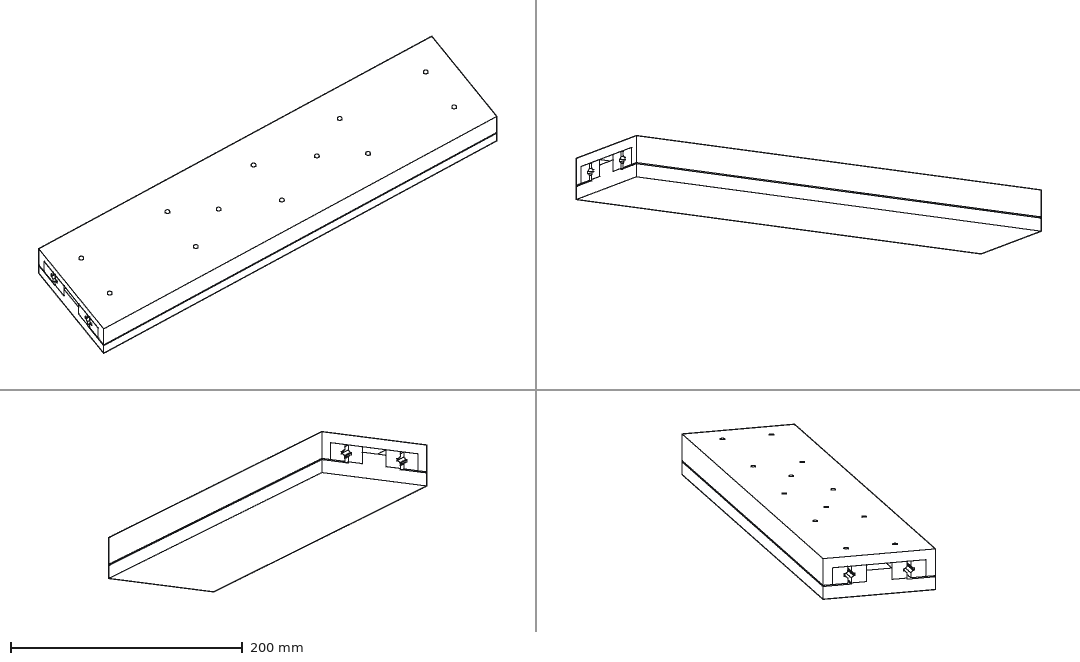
import cadquery as cq

LENGTH = 406.5
WIDTH = 101.5
HEIGHT = 36.5

RAIL_PAIR_WIDTH = 31.0
RAIL_HEIGHT = 15.0
RAIL_GAP = 3.3

GROOVE_MOUTH = 6.0
GROOVE_DEPTH = 2.0
RELIEF_HEIGHT = 2.0
RELIEF_DEPTH = 3.3

CARRIAGE_WALL = 8.5
CARRIAGE_PLATE = 9.0
RUNNING_GAP = 1.0
RIB_HEADROOM = 5.0

HOLE_DIAMETER = 4.0
HOLE_ROWS = 5
HOLE_ROW_PITCH = 89.0
HOLE_COLUMN_SPACING = 44.5
CENTRE_HOLE_SPACING = 101.5

POCKET_HALF_WIDTH = WIDTH / 2 - CARRIAGE_WALL
PAIR_CENTRE_X = POCKET_HALF_WIDTH - RAIL_PAIR_WIDTH / 2
RIB_HALF_WIDTH = POCKET_HALF_WIDTH - RAIL_PAIR_WIDTH
RAIL_WIDTH = (RAIL_PAIR_WIDTH - RAIL_GAP) / 2
POCKET_TOP = HEIGHT - CARRIAGE_PLATE
BASE_SEAT_HEIGHT = POCKET_TOP - RAIL_HEIGHT
RAIL_MIDDLE_Z = BASE_SEAT_HEIGHT + RAIL_HEIGHT / 2


def bar(x_min, x_max, z_min, z_max):
    """Full-length rectangular bar, centred on Y = 0."""
    return (
        cq.Workplane("XY")
        .box(x_max - x_min, LENGTH, z_max - z_min, centered=(False, True, False))
        .translate((x_min, 0, z_min))
    )


def make_carriage():
    """Inverted channel with mounting holes through its top plate."""
    body = bar(-WIDTH / 2, WIDTH / 2, BASE_SEAT_HEIGHT, HEIGHT)
    pocket = bar(-POCKET_HALF_WIDTH, POCKET_HALF_WIDTH, BASE_SEAT_HEIGHT, POCKET_TOP)
    plate_top = cq.Workplane("XY").workplane(offset=HEIGHT)
    side_holes = (
        plate_top
        .rarray(HOLE_COLUMN_SPACING, HOLE_ROW_PITCH, 2, HOLE_ROWS)
        .circle(HOLE_DIAMETER / 2)
        .extrude(-CARRIAGE_PLATE)
    )
    centre_holes = (
        plate_top
        .rarray(4, CENTRE_HOLE_SPACING, 1, 2)
        .circle(HOLE_DIAMETER / 2)
        .extrude(-CARRIAGE_PLATE)
    )
    return body.cut(pocket).cut(side_holes).cut(centre_holes)


def make_base():
    """Plate with raised seats for the inner rails and a rib between them."""
    seat_half_width = RIB_HALF_WIDTH + RAIL_WIDTH
    plate = bar(-WIDTH / 2, WIDTH / 2, 0, BASE_SEAT_HEIGHT - RUNNING_GAP)
    seats = bar(-seat_half_width, seat_half_width, 0, BASE_SEAT_HEIGHT)
    rib = bar(-RIB_HALF_WIDTH, RIB_HALF_WIDTH, 0, POCKET_TOP - RIB_HEADROOM)
    return plate.union(seats).union(rib)


def make_rail(pair_centre_x, side):
    """Rail on one side (-1 or +1 in X) of a pair's centre, grooved towards that centre."""
    face = RAIL_GAP / 2
    half_profile = [
        (face + RELIEF_DEPTH, RELIEF_HEIGHT / 2),
        (face + GROOVE_DEPTH, RELIEF_HEIGHT / 2),
        (face, GROOVE_MOUTH / 2),
        (face, RAIL_HEIGHT / 2),
        (face + RAIL_WIDTH, RAIL_HEIGHT / 2),
    ]
    mirrored_half = [(x, -z) for x, z in reversed(half_profile)]
    profile = [
        (pair_centre_x + side * x, RAIL_MIDDLE_Z + z)
        for x, z in half_profile + mirrored_half
    ]
    return cq.Workplane("XZ").polyline(profile).close().extrude(LENGTH / 2, both=True)


carriage = make_carriage()
base = make_base()
rails = [
    make_rail(pair_centre_x, side)
    for pair_centre_x in (-PAIR_CENTRE_X, PAIR_CENTRE_X)
    for side in (-1, 1)
]

result = cq.Compound.makeCompound([
    carriage.val(),
    base.val(),
    *[rail.val() for rail in rails],
])